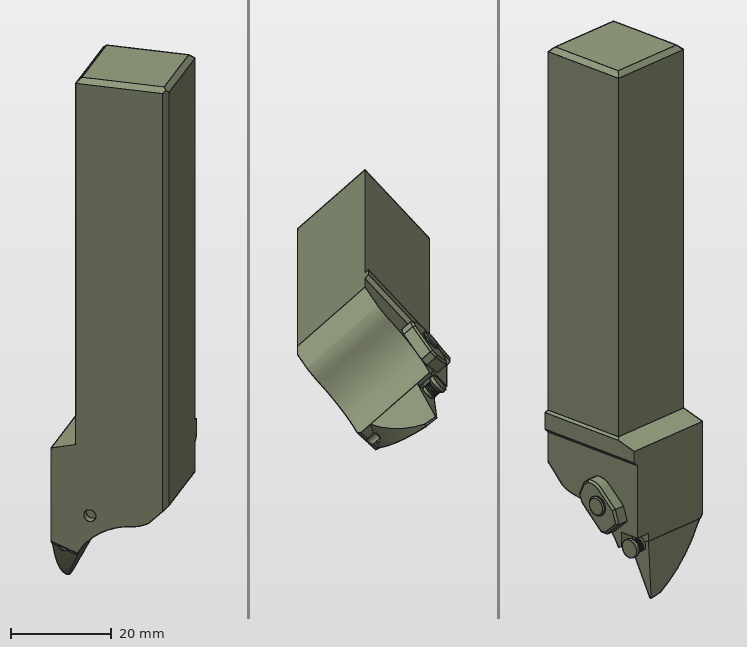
import cadquery as cq
import math


total_length = 113.7
shank_size = 19.1
head_offset = 5.1
holder_right = head_offset + shank_size
edge_chamfer = 1.0
ledge_back = 20.0
shoulder_height = 34.6
shoulder_slope = math.radians(15)
ledge_underside = 30.7
ledge_underside_slope = math.radians(45)
relief_start_height = 23.3
relief_bend = (20.4, 19.5)
relief_bend_middle = (18.8, 18.7)
relief_inflection = (16.6, 18.2)
relief_hollow_middle = (10.8, 16.4)
seat_left_height = 12.3
seat_right = (5.1, 10.5)
seat_chamfer_depth = 0.7
seat_chamfer_height = 0.8
pocket_right = 4.3
pocket_roof = 14.0

insert_back = 15.8
insert_land_height = 11.6
tip_left = -0.7
tip_width = 0.3
tip_flat_front = 13.0
tip_rise = 0.5
insert_front = 0.7
insert_front_skew = 0.25
insert_belly = (6.4, 5.1)

insert_screw_x = 2.2
insert_screw_z = 11.0
insert_screw_radius = 1.0
insert_screw_end = 3.0
insert_screw_neck_radius = 1.4
insert_screw_head_radius = 1.9
insert_screw_groove_starts = (16.5, 17.2)
insert_screw_groove_width = 0.3
insert_screw_groove_depth = 0.2
insert_screw_flare_start = 17.7
insert_screw_rim_start = 18.3

clamp_back = 22.0
clamp_chamfer = 0.5
clamp_outline = [
    (2.7, 17.0),
    (3.8, 19.9),
    (8.6, 24.3),
    (10.9, 24.3),
    (12.3, 23.2),
    (13.4, 20.5),
    (12.7, 18.7),
    (7.5, 13.9),
    (5.9, 13.9),
]
clamp_round = 3.8
clamp_round_edge = (clamp_outline[2][0], (shank_size + clamp_back) / 2, clamp_outline[2][1])
clamp_screw_x = 8.1
clamp_screw_z = 19.6
clamp_screw_radius = 1.3
clamp_screw_head_radius = 2.0
clamp_screw_end = 1.7
clamp_screw_top = 22.5

MARGIN = 2.3


def rod(x, z, radius, y_start, y_end):
    """Cylinder along Y."""
    start = cq.Vector(x, y_start, z)
    return cq.Workplane(cq.Solid.makeCylinder(radius, y_end - y_start, start, cq.Vector(0, 1, 0)))


def xz_plane(y):
    """Workplane at the given Y, with local axes X and Z, whose extrusions run towards -Y."""
    return cq.Workplane("XZ", origin=(0, y, 0))


def insert_screw_profile():
    """Half section of the insert screw: (radius, Y) points around its axis."""
    return [
        (0, insert_screw_end),
        (insert_screw_radius, insert_screw_end),
        (insert_screw_radius, insert_back),
        (insert_screw_neck_radius, insert_back),
        (insert_screw_neck_radius, insert_screw_flare_start),
        (insert_screw_head_radius, insert_screw_rim_start),
        (insert_screw_head_radius, shank_size),
        (0, shank_size),
    ]


def make_insert_screw():
    profile = cq.Workplane("XY").polyline(insert_screw_profile()).close()
    screw = profile.revolve(360, (0, 0), (0, 1))
    for start in insert_screw_groove_starts:
        end = start + insert_screw_groove_width
        core_radius = insert_screw_neck_radius - insert_screw_groove_depth
        ring = rod(0, 0, insert_screw_head_radius, start, end).cut(rod(0, 0, core_radius, start, end))
        screw = screw.cut(ring)
    return screw.translate((insert_screw_x, 0, insert_screw_z))


def make_clamp_screw():
    shank = rod(clamp_screw_x, clamp_screw_z, clamp_screw_radius, clamp_screw_end, clamp_back)
    head = rod(clamp_screw_x, clamp_screw_z, clamp_screw_head_radius, clamp_back, clamp_screw_top)
    head = head.faces(">Y").chamfer((clamp_screw_top - clamp_back) / 2)
    return shank.union(head)


def holder_blank():
    """Front outline of shank and head, extruded over the full depth."""
    shoulder_drop = head_offset * math.tan(shoulder_slope)
    outline = (
        xz_plane(ledge_back)
        .moveTo(0, seat_left_height)
        .lineTo(0, shoulder_height - shoulder_drop)
        .lineTo(head_offset, shoulder_height)
        .lineTo(head_offset, total_length)
        .lineTo(holder_right, total_length)
        .lineTo(holder_right, relief_start_height)
        .lineTo(*relief_bend)
        .threePointArc(relief_bend_middle, relief_inflection)
        .threePointArc(relief_hollow_middle, seat_right)
        .close()
    )
    return outline.extrude(ledge_back)


def across_holder(profile):
    """Extrude a closed Y, Z profile along X through the whole holder."""
    section = cq.Workplane("YZ", origin=(-MARGIN, 0, 0)).polyline(profile).close()
    return section.extrude(holder_right + 2 * MARGIN)


def shank_back_cut():
    """Space behind the shank, above the ledge."""
    far = ledge_back + MARGIN
    drop = (far - shank_size) * math.tan(shoulder_slope)
    profile = [
        (shank_size, shoulder_height),
        (far, shoulder_height - drop),
        (far, total_length + MARGIN),
        (shank_size, total_length + MARGIN),
    ]
    return across_holder(profile)


def head_back_cut():
    """Space behind the head, below the ledge."""
    far = ledge_back + MARGIN
    rise = math.tan(ledge_underside_slope)
    profile = [
        (shank_size, 0),
        (far, 0),
        (far, ledge_underside + (far - ledge_back) * rise),
        (shank_size, ledge_underside - (ledge_back - shank_size) * rise),
    ]
    return across_holder(profile)


def long_edge_cut():
    """Chamfer along the front right edge of the shank."""
    profile = [
        (holder_right - edge_chamfer, 0),
        (holder_right, 0),
        (holder_right, edge_chamfer),
    ]
    return cq.Workplane("XY").polyline(profile).close().extrude(total_length)


def seat_edge_cut():
    """Chamfer along the front edge of the sloping insert seat."""
    profile = [
        (0, seat_left_height),
        (0, seat_left_height + seat_chamfer_height),
        (seat_chamfer_depth, seat_left_height),
    ]
    fall = (seat_right[1] - seat_left_height) / seat_right[0]
    reach = seat_right[0] + MARGIN
    section = cq.Wire.makePolygon([cq.Vector(0, y, z) for y, z in profile], close=True)
    path = cq.Vector(reach, 0, reach * fall)
    return cq.Workplane(cq.Solid.extrudeLinear(section, [], path))


def screw_head_pocket():
    """Recess in the lower back corner, open to the left, the back and below."""
    corner = (-MARGIN, insert_back, 0)
    size = (pocket_right + MARGIN, ledge_back, pocket_roof)
    return cq.Workplane("XY").box(*size, centered=False).translate(corner)


def make_holder():
    holder = holder_blank()
    holder = holder.cut(shank_back_cut()).cut(head_back_cut())
    holder = holder.faces(">Z").chamfer(edge_chamfer)
    holder = holder.cut(long_edge_cut())
    holder = holder.cut(seat_edge_cut())
    holder = holder.cut(screw_head_pocket())
    holder = holder.cut(rod(clamp_screw_x, clamp_screw_z, clamp_screw_radius, 0, ledge_back))
    return holder.cut(rod(insert_screw_x, insert_screw_z, insert_screw_radius, 0, insert_back))


def make_insert():
    """Wedge with a curved lower front edge, skewed towards the back on its right, pierced by its screw."""
    wedge_outline = [
        (0, seat_left_height),
        (0, insert_land_height),
        (tip_left, 0),
        (tip_left + tip_width, 0),
        seat_right,
    ]
    wedge = xz_plane(insert_back).polyline(wedge_outline).close().extrude(insert_back)
    top_back = insert_back + MARGIN
    reach = seat_right[0] - tip_left
    side_profile = (
        cq.Workplane("YZ", origin=(tip_left, 0, 0))
        .moveTo(top_back, 0)
        .lineTo(insert_back, 0)
        .lineTo(tip_flat_front, tip_rise)
        .threePointArc(insert_belly, (insert_front, seat_left_height))
        .lineTo(top_back, seat_left_height)
        .close()
    )
    path = cq.Vector(reach, reach * insert_front_skew, 0)
    curved_block = cq.Workplane(cq.Solid.extrudeLinear(side_profile.val(), [], path))
    hole = rod(insert_screw_x, insert_screw_z, insert_screw_radius, 0, insert_back)
    return wedge.intersect(curved_block).cut(hole)


def make_clamp():
    """Plate on the back of the head, rounded at the top left, with a nose pointing at the insert."""
    plate = xz_plane(clamp_back).polyline(clamp_outline).close().extrude(clamp_back - shank_size)
    plate = plate.edges(cq.NearestToPointSelector(clamp_round_edge)).fillet(clamp_round)
    plate = plate.faces(">Y").chamfer(clamp_chamfer)
    return plate.cut(rod(clamp_screw_x, clamp_screw_z, clamp_screw_radius, 0, clamp_back))


holder = make_holder()
insert = make_insert()
insert_screw = make_insert_screw()
clamp = make_clamp()
clamp_screw = make_clamp_screw()

result = cq.Compound.makeCompound([
    holder.solids().val(),
    insert.solids().val(),
    insert_screw.solids().val(),
    clamp.solids().val(),
    clamp_screw.solids().val(),
])